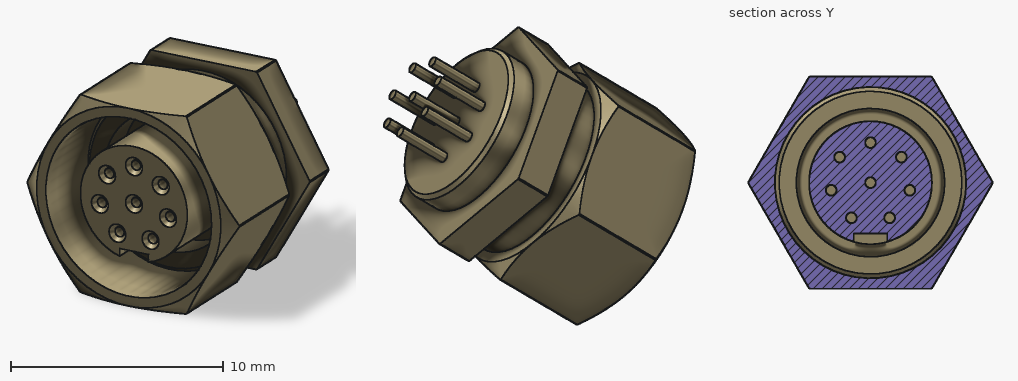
import cadquery as cq
import math


insert_face_y = 0.5
body_front_y = 3.8
nut_back_y = 5.6
groove_floor_y = nut_back_y
flange_front_y = 7.1
flange_back_y = 8.9
body_back_y = 10.3
pin_tip_y = 13.0

hex_across_flats = 10.0
hex_trimmed_width = 11.5
hex_corner_radius = hex_trimmed_width / 2
hex_chamfer_angle = 30.0

body_radius = 4.5
rear_radius = 3.99
body_chamfer = 0.2

insert_radius = 2.9
groove_radius = 3.5
key_width = 1.56
key_floor_z = -2.4

ring_radius = 1.88
ring_count = 7
ring_step = 50.5
contact_radius = 0.25
countersink_radius = 0.45
socket_depth = 1.04


def cylinder(radius, start_y, end_y):
    """Solid cylinder on the Y axis."""
    return cq.Workplane("XZ", origin=(0, start_y, 0)).circle(radius).extrude(start_y - end_y)


def hexagon(start_y, end_y):
    """Hexagonal prism with flats facing +-Z and its corners trimmed to a round blank."""
    across_corners = hex_across_flats / math.cos(math.pi / 6)
    outline = cq.Workplane("XZ", origin=(0, start_y, 0)).polygon(6, across_corners)
    prism = outline.extrude(start_y - end_y)
    return prism.intersect(cylinder(hex_corner_radius, start_y, end_y))


def nut():
    """Hex nut with conical chamfers at both ends, bored for the body."""
    face_radius = hex_across_flats / 2
    chamfer_width = hex_corner_radius - face_radius
    chamfer_length = chamfer_width * math.tan(math.radians(hex_chamfer_angle))
    envelope = (
        cq.Workplane("XY")
        .lineTo(face_radius, 0)
        .lineTo(hex_corner_radius, chamfer_length)
        .lineTo(hex_corner_radius, nut_back_y - chamfer_length)
        .lineTo(face_radius, nut_back_y)
        .lineTo(0, nut_back_y)
        .close()
        .revolve(360, (0, 0, 0), (0, 1, 0))
    )
    bore = cylinder(body_radius, 0, nut_back_y)
    return hexagon(0, nut_back_y).intersect(envelope).cut(bore)


def body():
    """Turned body with a chamfered end on each side and a groove open to the mouth."""
    front = cylinder(body_radius, body_front_y, flange_front_y).faces("<Y").chamfer(body_chamfer)
    groove = cylinder(groove_radius, body_front_y, groove_floor_y)
    rear = cylinder(rear_radius, flange_back_y, body_back_y).faces(">Y").chamfer(body_chamfer)
    return front.cut(groove).union(hexagon(flange_front_y, flange_back_y)).union(rear)


def insert():
    """Contact carrier with a keyway cut into its lower edge down to the body face."""
    key_height = insert_radius + key_floor_z
    keyway_length = body_front_y - insert_face_y
    keyway = cq.Workplane("XY").box(key_width, keyway_length, key_height, centered=(True, False, False))
    keyway = keyway.translate((0, insert_face_y, -insert_radius))
    return cylinder(insert_radius, insert_face_y, groove_floor_y).cut(keyway)


def contact_positions():
    """X, Z of every contact."""
    positions = [(0, 0)]
    for i in range(ring_count):
        angle = math.radians(90 + (i - (ring_count - 1) / 2) * ring_step)
        positions.append((ring_radius * math.cos(angle), ring_radius * math.sin(angle)))
    return positions


def socket():
    """Cutter for one countersunk contact hole in the insert face."""
    axis = cq.Vector(0, 1, 0)
    mouth = cq.Vector(0, insert_face_y, 0)
    countersink_depth = countersink_radius - contact_radius
    cone = cq.Solid.makeCone(countersink_radius, contact_radius, countersink_depth, mouth, axis)
    return cylinder(contact_radius, insert_face_y, insert_face_y + socket_depth).union(cq.Workplane(cone))


result = nut().union(body()).union(insert())
for x, z in contact_positions():
    result = result.cut(socket().translate((x, 0, z)))
    result = result.union(cylinder(contact_radius, body_back_y, pin_tip_y).translate((x, 0, z)))